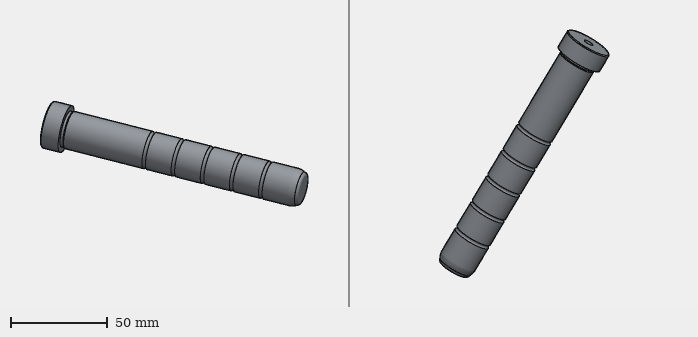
import cadquery as cq
import math

length = 140.0
head_radius = 25.0 / 2
head_length = 10.0
head_chamfer = 0.5
shaft_radius = 20.0 / 2

neck_radius = 9.7
neck_end = 12.0
neck_ramp = 0.5

groove_count = 5
first_groove_start = 55.0
groove_span = 64.0
groove_pitch = groove_span / (groove_count - 1)
groove_width = 2.0
groove_depth = 0.7

lead_length = 5.0
nose_length = 1.7
nose_base_radius = 9.0
nose_tip_radius = 7.3

hole_radius = 1.4
countersink_radius = 2.5
countersink_half_angle = math.radians(30)
hole_depth = 5.0
drill_half_angle = math.radians(59)


def revolve_about_x(profile):
    """Close a half profile and turn it into a solid about the pin axis."""
    return profile.close().revolve(360, (0, 0, 0), (1, 0, 0))


def make_body():
    """Head, undercut neck, shaft and rounded lead-in."""
    lead_start = length - lead_length
    nose_start = length - nose_length
    nose_drop = nose_base_radius - nose_tip_radius
    nose_bulge = 1 - math.sqrt(0.5)
    profile = (
        cq.Workplane("XY")
        .lineTo(0, head_radius - head_chamfer)
        .lineTo(head_chamfer, head_radius)
        .lineTo(head_length, head_radius)
        .lineTo(head_length, neck_radius)
        .lineTo(neck_end - neck_ramp, neck_radius)
        .lineTo(neck_end, shaft_radius)
        .lineTo(lead_start, shaft_radius)
        .tangentArcPoint((nose_start, nose_base_radius), relative=False)
        .threePointArc(
            (length - nose_length * nose_bulge, nose_base_radius - nose_drop * nose_bulge),
            (length, nose_tip_radius),
        )
        .lineTo(length, 0)
    )
    return revolve_about_x(profile)


def make_groove(start):
    """Ring cutter with a shallow rounded floor."""
    end = start + groove_width
    floor_radius = shaft_radius - groove_depth
    profile = (
        cq.Workplane("XY")
        .moveTo(start, head_radius)
        .lineTo(start, shaft_radius)
        .threePointArc((start + groove_width / 2, floor_radius), (end, shaft_radius))
        .lineTo(end, head_radius)
    )
    return revolve_about_x(profile)


def make_center_hole():
    """Countersunk blind hole with a conical drill point."""
    countersink_depth = (countersink_radius - hole_radius) / math.tan(countersink_half_angle)
    point_length = hole_radius / math.tan(drill_half_angle)
    profile = (
        cq.Workplane("XY")
        .lineTo(0, countersink_radius)
        .lineTo(countersink_depth, hole_radius)
        .lineTo(hole_depth, hole_radius)
        .lineTo(hole_depth + point_length, 0)
    )
    return revolve_about_x(profile)


result = make_body()
for index in range(groove_count):
    result = result.cut(make_groove(first_groove_start + index * groove_pitch))
result = result.cut(make_center_hole())